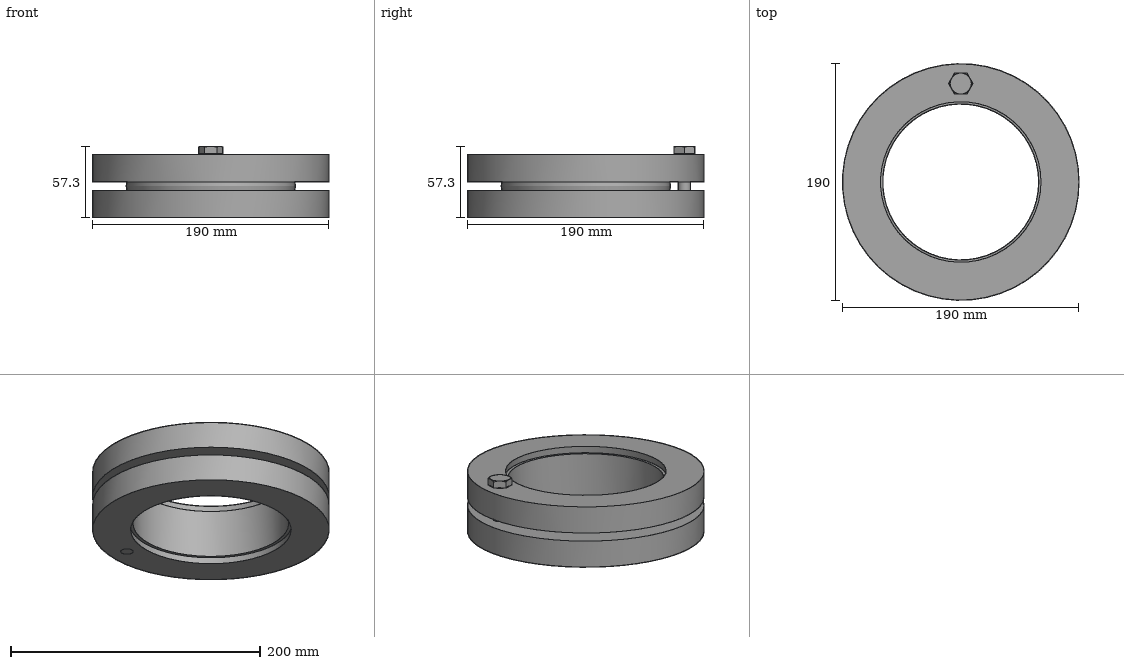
import cadquery as cq
import math

flange_diameter = 190.0
flange_thickness = 22.0
flange_gap = 6.8
stack_height = 2 * flange_thickness + flange_gap
middle_height = stack_height / 2

seat_mouth_radius = 64.5
seat_middle_radius = 68.0
seat_slope = (seat_middle_radius - seat_mouth_radius) / middle_height

ring_bore_diameter = 125.0
ring_height = 39.7

bolt_offset = 79.0
shank_diameter = 10.0
head_across_flats = 17.0
head_height = 6.5
head_chamfer_angle = math.radians(30)
turning_allowance = 1.9
washer_face_diameter = 15.4
washer_face_height = 0.5


def cylinder(diameter, bottom, top):
    return cq.Workplane("XY").workplane(offset=bottom).circle(diameter / 2).extrude(top - bottom)


def bolt_cylinder(diameter, bottom, top):
    return cylinder(diameter, bottom, top).translate((0, bolt_offset, 0))


def double_cone(height):
    """Solid double cone, widest at the middle plane and following the seat slope."""
    half_height = height / 2
    end_radius = seat_middle_radius - seat_slope * half_height
    outline = [
        (0, middle_height - half_height),
        (end_radius, middle_height - half_height),
        (seat_middle_radius, middle_height),
        (end_radius, middle_height + half_height),
        (0, middle_height + half_height),
    ]
    return cq.Workplane("XZ").polyline(outline).close().revolve(360, (0, 0, 0), (0, 1, 0))


def make_flange(bottom):
    """Plain flange with a conical seat and a hole fitting the bolt shank."""
    top = bottom + flange_thickness
    disc = cylinder(flange_diameter, bottom, top)
    return disc.cut(double_cone(stack_height)).cut(bolt_cylinder(shank_diameter, bottom, top))


def make_sealing_ring():
    return double_cone(ring_height).cut(cylinder(ring_bore_diameter, 0, stack_height))


def make_bolt():
    """Bolt through both flanges, its tip flush with the lower face."""
    head_bottom = stack_height + washer_face_height
    head_top = stack_height + head_height
    corner_diameter = head_across_flats / math.cos(math.pi / 6)
    head = (
        cq.Workplane("XY", origin=(0, bolt_offset, head_bottom))
        .polygon(6, corner_diameter)
        .extrude(head_top - head_bottom)
    )

    blank_diameter = corner_diameter + turning_allowance
    chamfer_width = (blank_diameter - head_across_flats) / 2
    chamfer_drop = chamfer_width * math.tan(head_chamfer_angle)
    turned_blank = (
        bolt_cylinder(blank_diameter, head_bottom, head_top)
        .faces(">Z")
        .chamfer(chamfer_drop, chamfer_width)
    )
    head = head.intersect(turned_blank)

    washer_face = bolt_cylinder(washer_face_diameter, stack_height, head_bottom)
    shank = bolt_cylinder(shank_diameter, 0, stack_height)
    return shank.union(washer_face).union(head)


lower_flange = make_flange(0)
upper_flange = make_flange(flange_thickness + flange_gap)
sealing_ring = make_sealing_ring()
bolt = make_bolt()

result = cq.Compound.makeCompound(
    [
        lower_flange.solids().val(),
        upper_flange.solids().val(),
        sealing_ring.solids().val(),
        bolt.solids().val(),
    ]
)